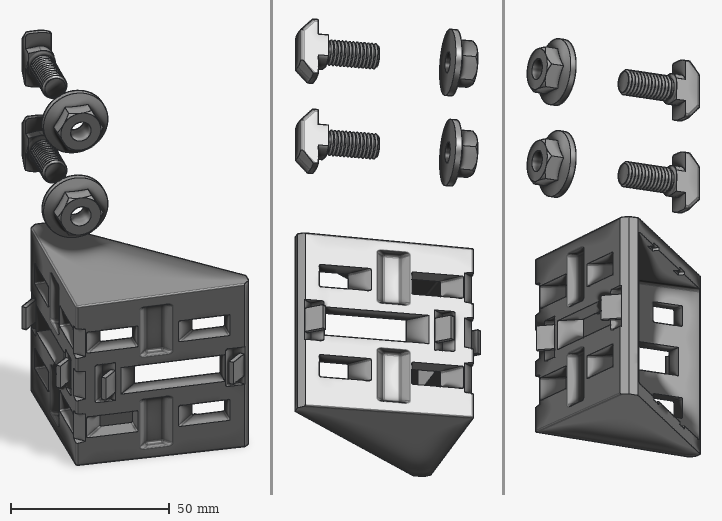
import cadquery as cq
import math


LEG = 56.8
HEIGHT = 58.0
END_FLAT = 3.4
END_CHAMFER = 2.0
WALL = 6.0
CAVITY_HEIGHT = 49.4
DRAFT = math.tan(math.radians(1.0))
CORNER_ROUND = 0.7
RIM_ROUND = 0.5
CAVITY_ROUND = 1.0
SLOPE_OFFSET = LEG + END_FLAT + END_CHAMFER
SLOPE_DEPTH = SLOPE_OFFSET / math.sqrt(2)

SLOT_U = (14.6, 48.5)
SLOT_HEIGHT = 9.4
SLOT_TAPER = 0.1
WINDOW_U = (3.4, 20.2)
WINDOW_HEIGHT = 7.4
WINDOW_TAPER = 0.35
WINDOW_SIDE_TAPER = 0.2
WINDOW_PITCH = 30.0
WINDOW_ROUND = 0.5
POCKET_U = 26.15
POCKET_Z = 16.3
POCKET_MOUTH = 10.7
POCKET_HEIGHT = 17.4
POCKET_FLOOR_HEIGHT = 16.8
POCKET_DEPTH = 2.6
POCKET_ROUND = 1.0
POCKET_RIM_ROUND = 0.25
SELECT_MARGIN = 0.05
NOTCH_U = 3.1
NOTCH_FLOOR_HEIGHT = 9.6
NOTCH_SPREAD = 0.5
NOTCH_PITCH = 15.0

TAB_REACH = 4.22
TAB_THICKNESS = 1.6
TAB_HEIGHT = 7.8
TAB_ROOT = 1.2
TAB_U = (12.75, 54.35)
GROOVE_U = (12.8, 55.35)
GROOVE_DEPTH = 3.3
GROOVE_HEIGHT = 13.3
GROOVE_END_ROUND = 0.6

CATCH_SPACING = 30.0
CATCH_LENGTH = 5.4
CATCH_DEPTH = 2.0
CATCH_RISE = 0.9

HARDWARE_Y = 1.55
HARDWARE_Z = (60.0, 90.0)
HEAD_LENGTH = 19.2
HEAD_TOP_LENGTH = 11.3
HEAD_WIDTH = 8.4
HEAD_THICKNESS = 5.6
HEAD_ROUND = 1.1
NECK_RADIUS = 4.9
NECK_EDGE = 4.4
NECK_END = 8.9
SHOULDER_CHAMFER = 0.3
BOLT_LENGTH = 25.7
THREAD_RADIUS = 4.05
ROOT_RADIUS = 3.35
THREAD_PITCH = 1.2
THREAD_TURNS = 13
THREAD_START = 9.9

NUT_X = 48.6
NUT_LENGTH = LEG - NUT_X
NUT_FLATS = 13.0
NUT_BORE = 6.65
FLANGE_DIAMETER = 21.0
FLANGE_THICKNESS = 2.0
FLANGE_CONE_END = 3.2
NUT_CHAMFER = 1.0


def leg_point(u, v):
    """Point at distance u along the front leg from the outer corner and depth v into it."""
    return (LEG - u, v)


def leg_prism(points, height):
    """Prism along Z on an outline given in (u, v), centred on the mid-height."""
    outline = [leg_point(u, v) for u, v in points]
    return cq.Workplane("XY").polyline(outline).close().extrude(height / 2, both=True)


def on_other_leg(shape):
    """Mirror image of a front-leg feature on the right leg."""
    return shape.mirror(cq.Vector(1, 1, 0), (LEG, 0, 0))


def pull_profile(points):
    """Prism along the slope on an outline given in (depth from the slope, z)."""
    middle = SLOPE_OFFSET / 2
    plane = cq.Plane(origin=(*leg_point(middle, middle), 0), xDir=(1, -1, 0), normal=(1, 1, 0))
    return cq.Workplane(plane).polyline(points).close().extrude(2 * LEG, both=True)


def drafted_slab(height):
    """Slab of this height at the slope, thinning with the draft toward the outer corner."""
    near = height / 2
    far = near - SLOPE_DEPTH * DRAFT
    return pull_profile([(0, near), (SLOPE_DEPTH, far), (SLOPE_DEPTH, -far), (0, -near)])


def bracket_body():
    end = END_FLAT + END_CHAMFER
    outline = [
        (0, 0),
        (LEG - END_CHAMFER, 0),
        (LEG, END_CHAMFER),
        (LEG, end),
        (end, LEG),
        (END_CHAMFER, LEG),
        (0, LEG - END_CHAMFER),
    ]
    body = leg_prism(outline, HEIGHT)
    body = body.edges(cq.selectors.NearestToPointSelector((LEG, 0, 0))).fillet(CORNER_ROUND)
    body = body.intersect(drafted_slab(HEIGHT))
    return body.faces("<Y or >X").edges("not |Z").fillet(RIM_ROUND)


def cavity():
    reach = SLOPE_OFFSET - WALL
    prism = leg_prism([(WALL, WALL), (reach, WALL), (WALL, reach)], HEIGHT)
    block = prism.intersect(drafted_slab(CAVITY_HEIGHT))
    slope_face = cq.selectors.DirectionMinMaxSelector(cq.Vector(-1, 1, 0))
    keep_sharp = block.faces(slope_face).edges().vals()
    inner = [e for e in block.edges().vals() if not any(e.isSame(k) for k in keep_sharp)]
    return block.newObject(inner).fillet(CAVITY_ROUND)


def tapered_cutter(depth, mouth_u, mouth_height, floor_u, floor_height):
    """Cutter from a rectangle on the leg's outer face to another one at this depth; z = 0 centred."""
    tapered = cq.Workplane(cq.Plane(origin=(LEG, 0, 0), xDir=(-1, 0, 0), normal=(0, 1, 0)))
    for u, height, offset in ((mouth_u, mouth_height, 0), (floor_u, floor_height, depth)):
        tapered = (
            tapered.workplane(offset=offset)
            .moveTo(sum(u) / 2, 0).rect(u[1] - u[0], height)
        )
    return tapered.loft(ruled=True)


def flared_opening(mouth_u, mouth_height, side_taper, height_taper):
    """Opening through the leg, its side nearest the outer corner running at 45 degrees."""
    inner_u = (mouth_u[0] + WALL, mouth_u[1] - side_taper)
    return tapered_cutter(WALL, mouth_u, mouth_height, inner_u, mouth_height - 2 * height_taper)


def slot():
    return flared_opening(SLOT_U, SLOT_HEIGHT, 0, SLOT_TAPER)


def windows():
    window = flared_opening(WINDOW_U, WINDOW_HEIGHT, WINDOW_SIDE_TAPER, WINDOW_TAPER)
    window = window.edges("not (<Y or >Y)").fillet(WINDOW_ROUND)
    cuts = cq.Workplane("XY")
    for along in (0, -WINDOW_PITCH):
        for up in (-WINDOW_PITCH / 2, WINDOW_PITCH / 2):
            cuts = cuts.union(window.translate((along, 0, up)))
    return cuts


def pocket(z):
    """Blind pocket with tapered sides and rounded inside edges."""
    mouth_u = (POCKET_U - POCKET_MOUTH / 2, POCKET_U + POCKET_MOUTH / 2)
    floor_u = (mouth_u[0] + POCKET_DEPTH, mouth_u[1] - POCKET_DEPTH)
    tapered = tapered_cutter(POCKET_DEPTH, mouth_u, POCKET_HEIGHT, floor_u, POCKET_FLOOR_HEIGHT)
    return tapered.edges("not <Y").fillet(POCKET_ROUND).translate((0, 0, z))


def corner_notches():
    """Notches across the outer corner, with sloping ends."""
    floor = SLOPE_DEPTH - NOTCH_U / math.sqrt(2)
    half = NOTCH_FLOOR_HEIGHT / 2
    notch = pull_profile([
        (floor, -half),
        (floor, half),
        (SLOPE_DEPTH, half + NOTCH_SPREAD),
        (SLOPE_DEPTH, -half - NOTCH_SPREAD),
    ])
    cuts = cq.Workplane("XY")
    for step in (-1, 0, 1):
        cuts = cuts.union(notch.translate((0, 0, step * NOTCH_PITCH)))
    return cuts


def groove(u):
    """V groove with 45 degree sides; the ends of the side nearest the outer corner are rounded."""
    outline = [(u, 0), (u - 2 * GROOVE_DEPTH, 0), (u - GROOVE_DEPTH, GROOVE_DEPTH)]
    prism = leg_prism(outline, GROOVE_HEIGHT)
    return prism.faces("<Z or >Z").edges(">X").fillet(GROOVE_END_ROUND)


def tab(u):
    """Tab rising at 45 degrees from the sloping floor of its groove."""
    step = TAB_THICKNESS / math.sqrt(2)
    return leg_prism([
        (u + TAB_ROOT, TAB_ROOT),
        (u - TAB_REACH, -TAB_REACH),
        (u - TAB_REACH - step, step - TAB_REACH),
        (u + TAB_ROOT - step, TAB_ROOT + step),
    ], TAB_HEIGHT)


def catches():
    """Blocks that recess the side plates at the open edge of the cavity."""
    middle = leg_point(SLOPE_OFFSET / 2, SLOPE_OFFSET / 2)
    plane = cq.Plane(origin=(*middle, 0), xDir=(1, 1, 0), normal=(0, 0, 1))
    spots = [(-CATCH_SPACING / 2, 0), (CATCH_SPACING / 2, 0)]
    return (
        cq.Workplane(plane).pushPoints(spots).rect(CATCH_LENGTH, 2 * CATCH_DEPTH)
        .extrude(CAVITY_HEIGHT / 2 + CATCH_RISE, both=True)
    )


def round_pocket_rims(body):
    """Round the rims of the pockets where they open on the two outer faces."""
    half_width = POCKET_MOUTH / 2 + SELECT_MARGIN
    half_height = POCKET_HEIGHT / 2 + SELECT_MARGIN
    front_x = LEG - POCKET_U
    rims = []
    for z in (POCKET_Z, -POCKET_Z):
        on_front = cq.selectors.BoxSelector(
            (front_x - half_width, -SELECT_MARGIN, z - half_height),
            (front_x + half_width, SELECT_MARGIN, z + half_height),
        )
        on_right = cq.selectors.BoxSelector(
            (LEG - SELECT_MARGIN, POCKET_U - half_width, z - half_height),
            (LEG + SELECT_MARGIN, POCKET_U + half_width, z + half_height),
        )
        rims += body.edges(on_front).vals() + body.edges(on_right).vals()
    return body.newObject(rims).fillet(POCKET_RIM_ROUND)


def make_bracket():
    body = bracket_body().cut(cavity()).cut(catches())
    leg_cuts = [slot(), windows(), pocket(POCKET_Z), pocket(-POCKET_Z)]
    leg_cuts += [groove(u) for u in GROOVE_U]
    for cut in leg_cuts:
        body = body.cut(cut).cut(on_other_leg(cut))
    body = body.cut(corner_notches())
    body = round_pocket_rims(body)
    for u in TAB_U:
        body = body.union(tab(u)).union(on_other_leg(tab(u)))
    return body


def revolved(profile):
    """Solid of revolution about the X axis from a profile in (x, radius)."""
    return cq.Workplane("XY").polyline(profile).close().revolve(360, (0, 0), (1, 0))


def straight_quadrants(half_height, length):
    """The two quadrants of a bolt that keep square corners, in front above and behind below."""
    size = HEAD_WIDTH / 2
    front = cq.Workplane("XY").box(length, size, half_height, centered=False)
    return front.translate((0, -size, 0)).union(front.translate((0, 0, -half_height)))


def bolt_head():
    half = HEAD_LENGTH / 2
    top = HEAD_TOP_LENGTH / 2
    bevel = half - top
    side = [(0, top), (bevel, half), (HEAD_THICKNESS, half)]
    outline = side + [(x, -z) for x, z in reversed(side)]
    block = cq.Workplane("XZ").polyline(outline).close().extrude(HEAD_WIDTH / 2, both=True)
    block = block.faces("<Y or >Y").edges("not >X").fillet(HEAD_ROUND)
    turned = revolved([(0, 0), *side, (HEAD_THICKNESS, 0)])
    return block.intersect(turned.union(straight_quadrants(half, HEAD_THICKNESS)))


def bolt_neck():
    """Neck with two rounded corners and two square ones toward which it slopes."""
    half_width = HEAD_WIDTH / 2
    meet = math.sqrt(NECK_RADIUS ** 2 - half_width ** 2)
    turn = math.asin(half_width / NECK_RADIUS) / 2
    arc_y = NECK_RADIUS * math.sin(turn)
    arc_z = NECK_RADIUS * math.cos(turn)
    return (
        cq.Workplane("YZ").workplane(offset=HEAD_THICKNESS)
        .moveTo(0, NECK_RADIUS)
        .threePointArc((arc_y, arc_z), (half_width, meet))
        .lineTo(half_width, -NECK_EDGE)
        .lineTo(0, -NECK_RADIUS)
        .threePointArc((-arc_y, -arc_z), (-half_width, -meet))
        .lineTo(-half_width, NECK_EDGE)
        .close().extrude(NECK_END - HEAD_THICKNESS)
    )


def bolt_shank():
    """Root cylinder with ring-shaped thread crests."""
    shoulder = NECK_END + SHOULDER_CHAMFER
    points = [(NECK_END, 0), (NECK_END, NECK_RADIUS - SHOULDER_CHAMFER), (shoulder, ROOT_RADIUS)]
    for turn in range(THREAD_TURNS):
        start = THREAD_START + turn * THREAD_PITCH
        points += [(start, ROOT_RADIUS), (start + THREAD_PITCH / 2, THREAD_RADIUS)]
    points += [(THREAD_START + THREAD_TURNS * THREAD_PITCH, ROOT_RADIUS), (BOLT_LENGTH, ROOT_RADIUS)]
    points += [(BOLT_LENGTH, 0)]
    return revolved(points)


def make_bolt():
    return bolt_head().union(bolt_neck()).union(bolt_shank())


def make_nut():
    corner = NUT_FLATS / math.sqrt(3)
    rim = FLANGE_DIAMETER / 2
    hexagon = cq.Workplane("YZ").polygon(6, 2 * corner).extrude(NUT_LENGTH)
    envelope = [
        (0, 0),
        (0, rim),
        (NUT_LENGTH - NUT_CHAMFER, rim),
        (NUT_LENGTH - NUT_CHAMFER, corner),
        (NUT_LENGTH, NUT_FLATS / 2),
        (NUT_LENGTH, 0),
    ]
    flange = [
        (0, 0),
        (0, rim),
        (FLANGE_THICKNESS, rim),
        (FLANGE_CONE_END, NUT_FLATS / 2),
        (FLANGE_CONE_END, 0),
    ]
    bore = cq.Workplane("YZ").circle(NUT_BORE / 2).extrude(NUT_LENGTH)
    return hexagon.intersect(revolved(envelope)).union(revolved(flange)).cut(bore)


bracket = make_bracket()
bolts = [make_bolt().translate((0, HARDWARE_Y, z)) for z in HARDWARE_Z]
nuts = [make_nut().translate((NUT_X, HARDWARE_Y, z)) for z in HARDWARE_Z]

result = cq.Compound.makeCompound([bracket.val(), *[b.val() for b in bolts], *[n.val() for n in nuts]])